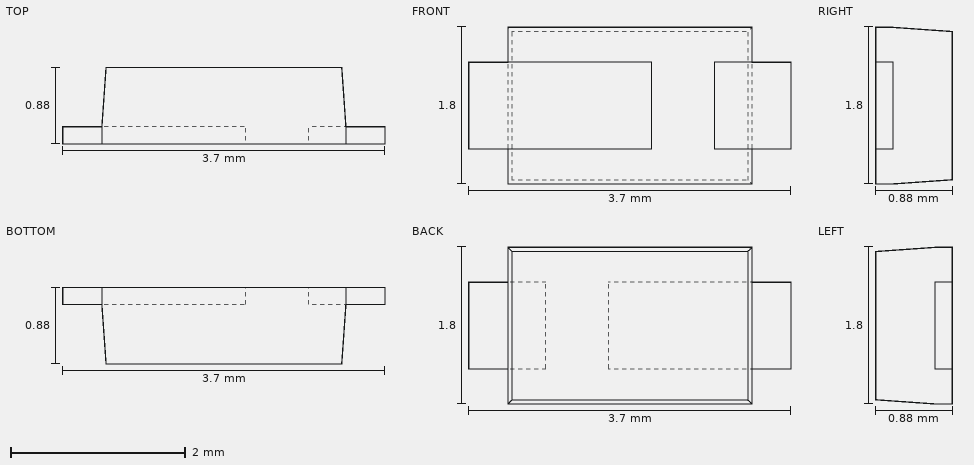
import cadquery as cq

overall_length = 3.7
body_length = 2.8
body_height = 1.8
body_depth = 0.88

base_depth = 0.2
taper_inset = 0.048

lead_height = 1.0
long_lead_length = 2.098
short_lead_length = 0.88


def make_lead(start_x, length):
    """Flat rectangular lead, centred on Z, running toward +X from start_x."""
    return cq.Workplane("XY").box(
        length, base_depth, lead_height, centered=(False, False, True)
    ).translate((start_x, 0, 0))


def make_housing(leads):
    """Straight base with a tapered back, recessed to receive the leads."""
    base = cq.Workplane("XY").box(
        body_length, base_depth, body_height, centered=(True, False, True)
    )
    tapered_back = (
        cq.Workplane("XZ", origin=(0, base_depth, 0))
        .rect(body_length, body_height)
        .workplane(offset=-(body_depth - base_depth))
        .rect(body_length - 2 * taper_inset, body_height - 2 * taper_inset)
        .loft(ruled=True)
    )
    housing = base.union(tapered_back)
    for lead in leads:
        housing = housing.cut(lead)
    return housing.solids()


long_lead = make_lead(-overall_length / 2, long_lead_length)
short_lead = make_lead(overall_length / 2 - short_lead_length, short_lead_length)
housing = make_housing([long_lead, short_lead])

result = cq.Compound.makeCompound([housing.val(), long_lead.val(), short_lead.val()])